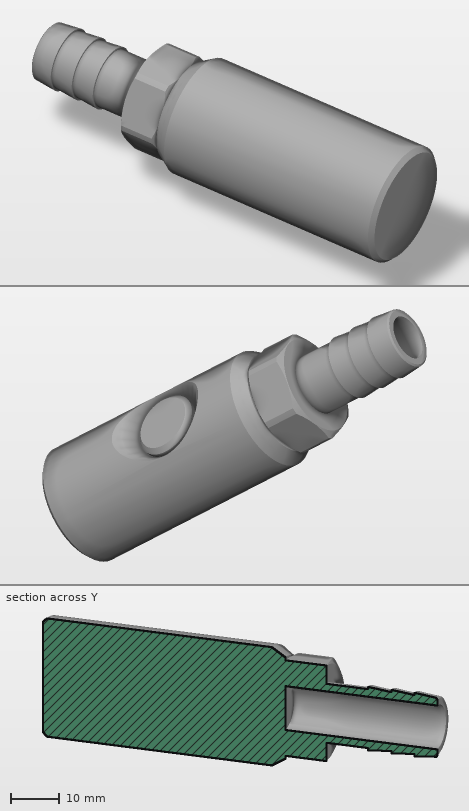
import cadquery as cq
import math

total_length = 88.4
hex_start = 24.8
hex_end = 34.0
body_cone_end = 37.1

stem_radius = 6.5
bore_radius = 4.75
bore_depth = hex_end
barb_radius = 7.0
barb_count = 3
barb_pitch = 5.2
barb_bulge = 0.02
tip_chamfer_length = 0.3
tip_face_radius = 6.1

hex_sides = 6
hex_across_flats = 21.0
hex_corner_radius = 11.75
hex_face_radius = 10.35
hex_chamfer_angle = 30.0

body_radius = 13.0
body_nose_radius = 11.1
body_end_chamfer = 1.0

button_x = 57.3
button_radius = 7.0
button_top = 10.4
button_chamfer = 1.0
dish_mouth_radius = 11.6


def make_tail():
    """Hose tail: a plain stem with convex barbs, revolved about X."""
    profile = (
        cq.Workplane("XZ")
        .lineTo(0, tip_face_radius)
        .lineTo(tip_chamfer_length, stem_radius)
    )
    root_x = tip_chamfer_length
    for index in range(barb_count):
        crest_x = (index + 1) * barb_pitch
        middle = ((root_x + crest_x) / 2, (stem_radius + barb_radius) / 2 + barb_bulge)
        profile = (
            profile.threePointArc(middle, (crest_x, barb_radius))
            .lineTo(crest_x, stem_radius)
        )
        root_x = crest_x
    profile = profile.lineTo(hex_start, stem_radius).lineTo(hex_start, 0).close()
    return profile.revolve(360, (0, 0, 0), (1, 0, 0))


def make_hexagon():
    """Hexagon with corners on +Y and -Y, turned and chamfered at both ends."""
    across_corners = hex_across_flats / math.cos(math.pi / hex_sides)
    prism = (
        cq.Workplane("YZ", origin=(hex_start, 0, 0))
        .polygon(hex_sides, across_corners)
        .extrude(hex_end - hex_start)
    )
    chamfer_slope = math.tan(math.radians(hex_chamfer_angle))
    chamfer_length = (hex_corner_radius - hex_face_radius) * chamfer_slope
    turned_blank = (
        cq.Workplane("XZ")
        .moveTo(hex_start, 0)
        .lineTo(hex_start, hex_face_radius)
        .lineTo(hex_start + chamfer_length, hex_corner_radius)
        .lineTo(hex_end - chamfer_length, hex_corner_radius)
        .lineTo(hex_end, hex_face_radius)
        .lineTo(hex_end, 0)
        .close()
        .revolve(360, (0, 0, 0), (1, 0, 0))
    )
    return prism.intersect(turned_blank)


def make_body():
    """Round body with a conical nose and a chamfered far end."""
    return (
        cq.Workplane("XZ")
        .moveTo(hex_end, 0)
        .lineTo(hex_end, body_nose_radius)
        .lineTo(body_cone_end, body_radius)
        .lineTo(total_length - body_end_chamfer, body_radius)
        .lineTo(total_length, body_radius - body_end_chamfer)
        .lineTo(total_length, 0)
        .close()
        .revolve(360, (0, 0, 0), (1, 0, 0))
    )


def make_dish():
    """Cutter for the 45 degree dish that leaves the chamfered round button standing in it."""
    dish_bottom = body_radius - (dish_mouth_radius - button_radius)
    return (
        cq.Workplane("XY")
        .moveTo(button_x, button_top)
        .lineTo(button_x + button_radius - button_chamfer, button_top)
        .lineTo(button_x + button_radius, button_top - button_chamfer)
        .lineTo(button_x + button_radius, dish_bottom)
        .lineTo(button_x + dish_mouth_radius, body_radius)
        .lineTo(button_x, body_radius)
        .close()
        .revolve(360, (button_x, 0, 0), (button_x, 1, 0))
    )


def make_bore():
    """Blind bore running from the hose end to the back of the hexagon."""
    return cq.Workplane("YZ").circle(bore_radius).extrude(bore_depth)


body = make_body().cut(make_dish())
result = make_tail().union(make_hexagon()).union(body).cut(make_bore())